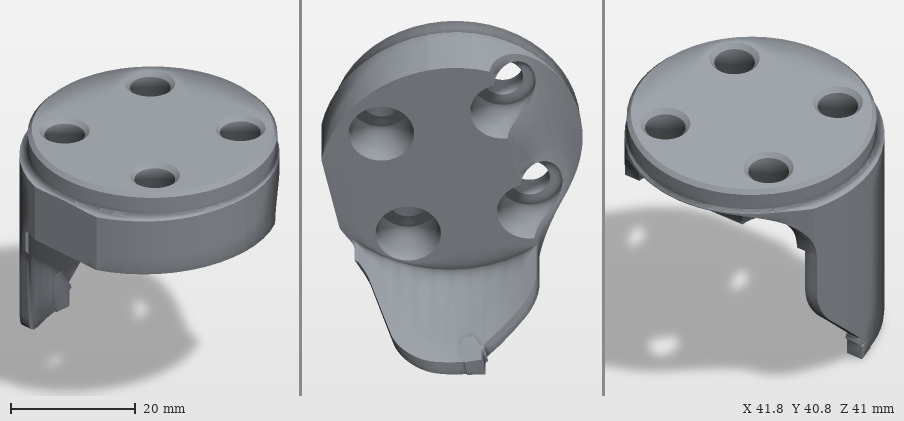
import cadquery as cq
import math

disc_radius = 40.0 / 2
disc_edge_chamfer = 0.65
disc_bottom = -3.6
neck_radius = 0.9
neck_bottom = disc_bottom - neck_radius

hole_diameter = 6.5
hole_spacing = 19.9
hole_chamfer = 0.75
counterbore_diameter = 10.5
counterbore_top = -4.85

flange_bottom = -14.42
main_radius = 20.35
front_flat_y = -20.45
left_center_x = 0.35
left_radius = 21.55
right_radius = 22.32
right_center_x = main_radius - right_radius
corner_radius = 1.25

leg_bottom = -40.55
leg_inner_center_x = 4.7
leg_inner_radius = 23.45
leg_edge_x = -10.2
leg_root_fillet = 1.15
leg_back_y = 9.57
leg_tip_y = 0.15
back_slope_top_z = -26.2
back_slope_bottom_z = -36.85
back_bend_radius = 10.45
front_slope_top = (-16.7, -22.65)
front_slope_bottom_z = -40.55
front_slope_bottom_y = -12.55
front_upper = (-18.95, -18.65)
front_upper_sag = (-17.65, -20.4)
front_corner_radius = 6.6

shoulder_radius = 10.5
shoulder_center_y = leg_back_y + shoulder_radius
shoulder_center_z = neck_bottom - shoulder_radius

insert_inner_x = -18.5
insert_outline = [
    (-1.15, -33.85), (-3.55, -34.0), (-3.65, -34.65), (-4.4, -35.32), (-4.4, -35.82),
    (-2.75, -40.7), (-2.68, -40.85), (-0.88, -40.92), (0.2, -41.0), (0.2, -38.12),
    (0.65, -37.7), (0.45, -36.85), (0.13, -37.0),
]
tip_outer_x = -21.45
tip_side_x = -21.05
tip_outline = [(0.2, -38.45), (-2.6, -38.45), (-1.45, -40.95), (0.2, -41.0)]

overrun = 8.35
reach = 62.7


def flange_prism(bottom, top):
    """Flange outline extruded between two heights."""
    main_45 = main_radius * math.sqrt(0.5)
    offset = 2 * main_45
    half_sum = (left_center_x - offset) / 2
    product = (offset**2 + left_center_x**2 - left_radius**2) / 2
    corner_x = half_sum - math.sqrt(half_sum**2 - product)
    corner_y = corner_x + offset
    flat_left_x = left_center_x - math.sqrt(left_radius**2 - front_flat_y**2)
    flat_right_x = right_center_x + math.sqrt(right_radius**2 - front_flat_y**2)
    right_45 = right_radius * math.sqrt(0.5)
    prism = (
        cq.Workplane("XY", origin=(0, 0, bottom))
        .moveTo(flat_left_x, front_flat_y)
        .lineTo(flat_right_x, front_flat_y)
        .threePointArc((right_center_x + right_45, -right_45), (main_radius, 0))
        .threePointArc((main_45, main_45), (-main_45, main_45))
        .lineTo(corner_x, corner_y)
        .threePointArc((left_center_x - left_radius, 0), (flat_left_x, front_flat_y))
        .close()
        .extrude(top - bottom)
    )
    corner = cq.selectors.NearestToPointSelector((corner_x, corner_y, (bottom + top) / 2))
    return prism.edges("|Z").edges(corner).fillet(corner_radius)


def make_disc():
    """Round disc with a chamfered rim."""
    disc = cq.Workplane("XY", origin=(0, 0, disc_bottom)).circle(disc_radius).extrude(-disc_bottom)
    return disc.faces(">Z").edges().chamfer(disc_edge_chamfer)


def make_neck():
    """Concave round that spreads from the disc to the flange outline."""
    flare_radius = disc_radius + neck_radius
    mid_offset = neck_radius * math.sqrt(0.5)
    flare = (
        cq.Workplane("XZ")
        .moveTo(0, disc_bottom)
        .lineTo(disc_radius, disc_bottom)
        .threePointArc((flare_radius - mid_offset, disc_bottom - mid_offset), (flare_radius, neck_bottom))
        .lineTo(flare_radius + overrun, neck_bottom)
        .lineTo(flare_radius + overrun, flange_bottom)
        .lineTo(0, flange_bottom)
        .close()
        .revolve(360, (0, 0), (0, 1))
    )
    return flare.intersect(flange_prism(flange_bottom, disc_bottom))


def leg_side_profile():
    """Leg silhouette across X, wide enough to take in the whole part."""
    profile = (
        cq.Workplane("YZ", origin=(-reach / 2, 0, 0))
        .moveTo(leg_back_y, flange_bottom)
        .lineTo(leg_back_y, back_slope_top_z)
        .lineTo(leg_tip_y, back_slope_bottom_z)
        .lineTo(leg_tip_y, leg_bottom)
        .lineTo(front_slope_bottom_y, front_slope_bottom_z)
        .lineTo(*front_slope_top)
        .threePointArc(front_upper_sag, front_upper)
        .lineTo(front_flat_y - overrun, front_upper[1])
        .lineTo(front_flat_y - overrun, flange_bottom)
        .close()
        .extrude(reach)
    )
    bend = cq.selectors.NearestToPointSelector((0, leg_back_y, back_slope_top_z))
    front_corner = cq.selectors.NearestToPointSelector((0, front_slope_bottom_y, front_slope_bottom_z))
    profile = profile.edges("|X").edges(bend).fillet(back_bend_radius)
    return profile.edges("|X").edges(front_corner).fillet(front_corner_radius)


def make_leg():
    """Curved wall, hollow inside and trimmed to its side silhouette."""
    height = flange_bottom - leg_bottom
    wall = flange_prism(leg_bottom, flange_bottom).intersect(leg_side_profile())
    hollow = (
        cq.Workplane("XY", origin=(leg_inner_center_x, 0, leg_bottom))
        .circle(leg_inner_radius)
        .extrude(height)
    )
    right_side = (
        cq.Workplane("XY")
        .box(reach, reach, height, centered=(False, True, False))
        .translate((leg_edge_x, 0, leg_bottom))
        .edges("<X and >Z")
        .fillet(leg_root_fillet)
    )
    return wall.cut(hollow).cut(right_side)


def shoulder_cut():
    """Space below the rear rim, bounded by the concave round."""
    return (
        cq.Workplane("YZ", origin=(-reach / 2, shoulder_center_y, shoulder_center_z))
        .circle(shoulder_radius)
        .extrude(reach)
    )


def mounting_holes():
    """Four through holes, each with a chamfered mouth and a counterbore from below."""
    centers = cq.Workplane("XY").rect(hole_spacing, hole_spacing, forConstruction=True).vertices()
    drill = cq.Workplane("XY").circle(hole_diameter / 2).extrude(flange_bottom)
    mouth_radius = hole_diameter / 2 + hole_chamfer
    mouth = cq.Workplane("XY").circle(mouth_radius).extrude(-hole_chamfer, taper=45)
    counterbore = (
        cq.Workplane("XY", origin=(0, 0, counterbore_top))
        .circle(counterbore_diameter / 2)
        .extrude(flange_bottom - counterbore_top)
    )
    cutter = drill.union(mouth).union(counterbore).val()
    return centers.eachpoint(lambda place: cutter.moved(place), combine=False)


def make_insert():
    """Insert flush with the leg's outer curve, with a raised cutting tip."""
    outer_x = tip_outer_x - overrun
    blank = (
        cq.Workplane("YZ", origin=(outer_x, 0, 0))
        .polyline(insert_outline)
        .close()
        .extrude(insert_inner_x - outer_x)
    )
    lowest_z = min(z for _, z in insert_outline)
    seat = blank.intersect(flange_prism(lowest_z, flange_bottom))
    tip_back_y = tip_outline[0][0]
    tip_front_y = tip_outline[1][0]
    wedge = (
        cq.Workplane("XY", origin=(0, 0, lowest_z))
        .polyline([
            (insert_inner_x, tip_back_y), (tip_outer_x, tip_back_y),
            (tip_side_x, tip_front_y), (insert_inner_x, tip_front_y),
        ])
        .close()
        .extrude(flange_bottom - lowest_z)
    )
    tip = (
        cq.Workplane("YZ", origin=(outer_x, 0, 0))
        .polyline(tip_outline)
        .close()
        .extrude(insert_inner_x - outer_x)
        .intersect(wedge)
        .intersect(blank)
    )
    return seat.union(tip)


insert = make_insert()
holder = make_disc().union(make_neck()).union(make_leg())
holder = holder.cut(shoulder_cut()).cut(mounting_holes()).cut(insert)

result = cq.Compound.makeCompound([holder.val(), insert.val()])